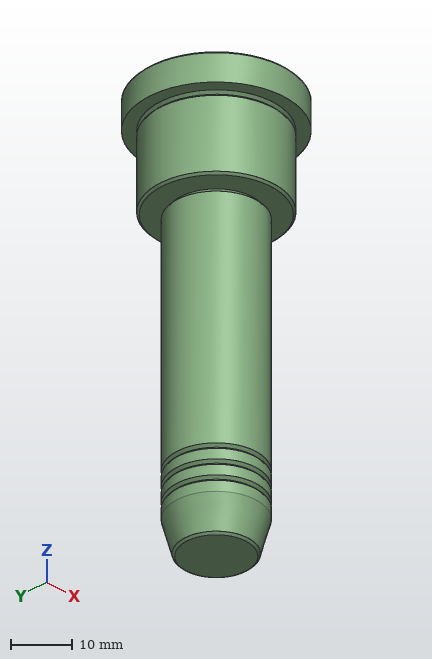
import cadquery as cq

total_length = 87.0
head_radius = 15.5
head_thickness = 6.0
collar_radius = 26.0 / 2
collar_bottom = 65.1
shank_radius = 18.0 / 2
edge_chamfer = 0.4

relief_height = 1.0
relief_depth = 0.9

groove_depth = 0.5
groove_pitch = 3.05
groove_count = 3
lowest_groove_height = 9.6

tip_height = 7.0
tip_radius = 7.2

head_bottom = total_length - head_thickness


def cylinder(radius, bottom, top):
    return cq.Workplane("XY").workplane(offset=bottom).circle(radius).extrude(top - bottom)


def ring_groove(surface_radius, height):
    """Ring that cuts a 90 degree V groove into a cylindrical surface."""
    return (
        cq.Workplane("XZ")
        .moveTo(surface_radius - groove_depth, height)
        .lineTo(surface_radius, height + groove_depth)
        .lineTo(surface_radius, height - groove_depth)
        .close()
        .revolve(360, (0, 0, 0), (0, 1, 0))
    )


def make_head():
    return cylinder(head_radius, head_bottom, total_length).faces(">Z").chamfer(edge_chamfer)


def make_collar():
    collar = cylinder(collar_radius, collar_bottom, head_bottom).faces("<Z").chamfer(edge_chamfer)
    return collar.cut(ring_groove(collar_radius, head_bottom - groove_depth))


def make_shank():
    shank = (
        cq.Workplane("XZ")
        .lineTo(tip_radius - edge_chamfer, 0)
        .lineTo(tip_radius, edge_chamfer)
        .lineTo(shank_radius, tip_height)
        .lineTo(shank_radius, collar_bottom - relief_height)
        .lineTo(shank_radius - relief_depth, collar_bottom)
        .lineTo(0, collar_bottom)
        .close()
        .revolve(360, (0, 0, 0), (0, 1, 0))
    )
    for index in range(groove_count):
        height = lowest_groove_height + index * groove_pitch
        shank = shank.cut(ring_groove(shank_radius, height))
    return shank


result = make_shank().union(make_collar()).union(make_head())